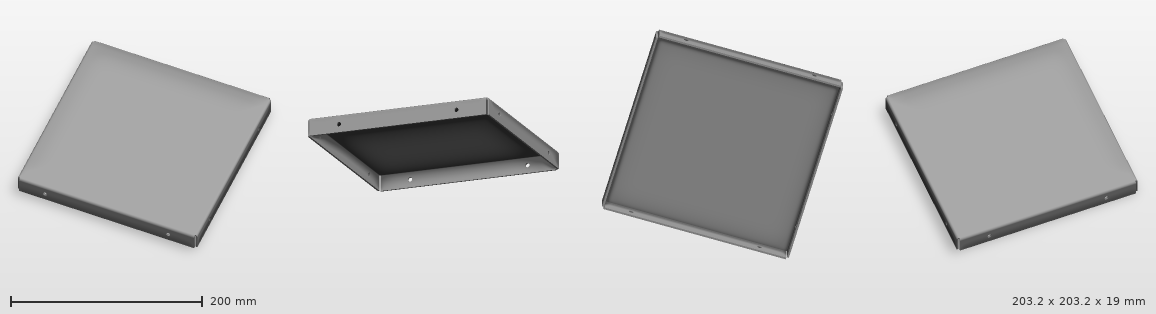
import cadquery as cq

side = 203.2
height = 19.0

thickness = 2.0
inner_bend_radius = 0.6
outer_bend_radius = thickness + inner_bend_radius

hole_diameter = 4.7
hole_drop = 10.4
x_hole_spacing = 139.4
y_hole_spacing = 131.7

panel_side = side - 2 * outer_bend_radius
half_panel = panel_side / 2
bottom = -height / 2
top = height / 2
bend_height = top - outer_bend_radius
panel_underside = top - thickness
hole_height = top - hole_drop


def make_flange(hole_spacing):
    """Bend and flange along the -Y edge of the panel, with two holes."""
    outer_face = -side / 2
    inner_face = outer_face + thickness
    bend_start = -half_panel
    profile = (
        cq.Workplane("YZ")
        .moveTo(bend_start, top)
        .radiusArc((outer_face, bend_height), -outer_bend_radius)
        .lineTo(outer_face, bottom)
        .lineTo(inner_face, bottom)
        .lineTo(inner_face, bend_height)
        .radiusArc((bend_start, panel_underside), inner_bend_radius)
        .close()
    )
    flange = profile.extrude(half_panel, both=True)
    holes = (
        cq.Workplane("XZ", origin=(0, outer_face, hole_height))
        .pushPoints([(-hole_spacing / 2, 0), (hole_spacing / 2, 0)])
        .circle(hole_diameter / 2)
        .extrude(thickness, both=True)
    )
    return flange.cut(holes)


panel = (
    cq.Workplane("XY", origin=(0, 0, panel_underside))
    .rect(panel_side, panel_side)
    .extrude(thickness)
)

result = panel
for quarter_turn in range(4):
    spacing = x_hole_spacing if quarter_turn % 2 == 0 else y_hole_spacing
    flange = make_flange(spacing).rotate((0, 0, 0), (0, 0, 1), 90 * quarter_turn)
    result = result.union(flange)